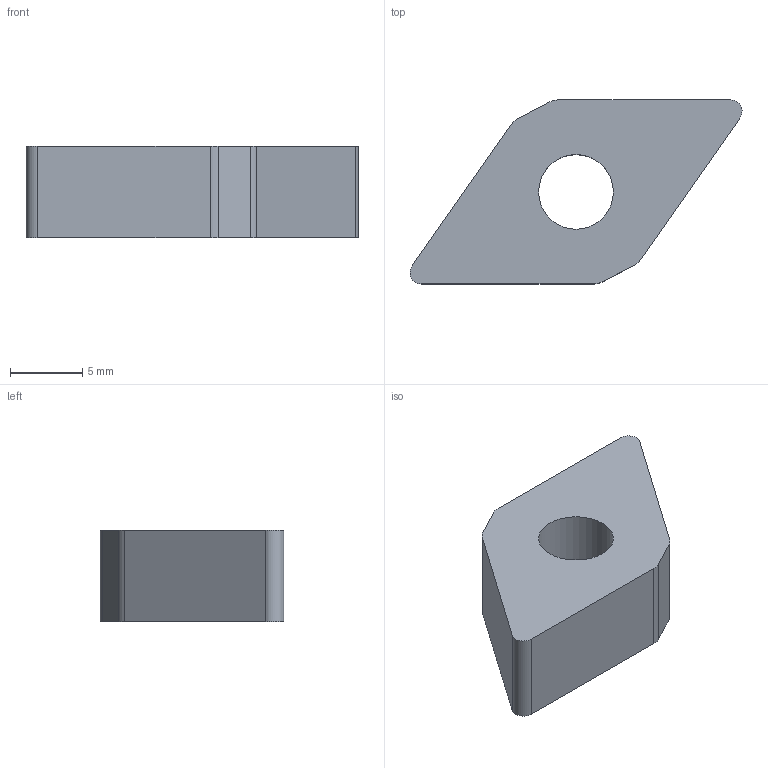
import cadquery as cq
import math

inscribed_diameter = 12.7
thickness = 6.35
hole_diameter = 5.16
acute_angle = 55.0
nose_radius = 0.794
trim_radius = 1.2

inscribed_radius = inscribed_diameter / 2
half_angle = math.radians(acute_angle / 2)

nose_x = inscribed_radius / math.tan(half_angle)
trim_start_x = inscribed_radius * math.tan(half_angle / 2)
trim_end_angle = 1.5 * half_angle
trim_end_distance = inscribed_radius / math.cos(half_angle / 2)
trim_end_x = trim_end_distance * math.sin(trim_end_angle)
trim_end_y = trim_end_distance * math.cos(trim_end_angle)

half_outline = [
    (-nose_x, -inscribed_radius),
    (trim_start_x, -inscribed_radius),
    (trim_end_x, -trim_end_y),
]
opposite_half = [(-x, -y) for x, y in half_outline]
nose_tip = half_outline[0]
trim_corners = half_outline[1:]


def round_corners(body, corners, radius):
    """Round the upright edges at the given corners and at their opposites."""
    for x, y in corners:
        for side in (1, -1):
            edge = cq.selectors.NearestToPointSelector((side * x, side * y, thickness / 2))
            body = body.edges("|Z").edges(edge).fillet(radius)
    return body


body = cq.Workplane("XY").polyline(half_outline + opposite_half).close().extrude(thickness)
body = round_corners(body, [nose_tip], nose_radius)
body = round_corners(body, trim_corners, trim_radius)

result = body.faces(">Z").workplane(origin=(0, 0, 0)).hole(hole_diameter)